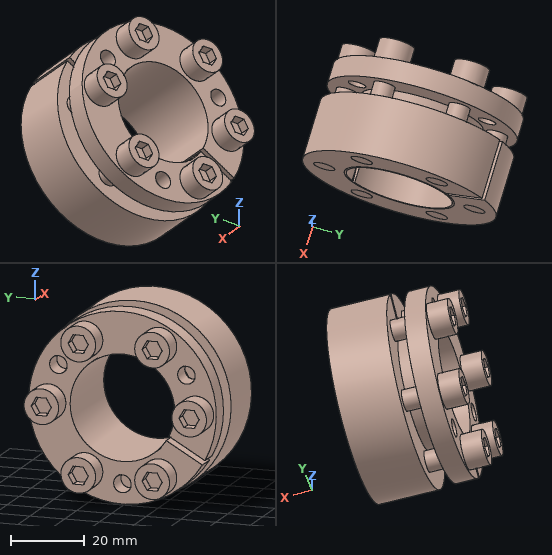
import cadquery as cq
import math


ring_diameter = 55.0
ring_length = 17.1

bore_diameter = 30.0
flange_diameter = 54.0
flange_thickness = 6.0
flange_gap = 4.9
taper_root_diameter = 34.65
taper_angle = 4.5

slit_width = 1.5
ring_slit_angle = 30.0
flange_slit_angle = ring_slit_angle + 180.0
jack_hole_diameter = 5.0
jack_hole_angles = [30.0, 150.0, 270.0]

screw_count = 6
screw_circle_diameter = 42.5
head_diameter = 10.0
head_height = 6.0
shank_diameter = 6.0
socket_flats = 5.0
socket_sides = 6
socket_depth = 3.0

flange_front = head_height
flange_back = flange_front + flange_thickness
ring_front = flange_back + flange_gap
ring_back = ring_front + ring_length

taper_length = ring_back - flange_back
taper_tip_diameter = taper_root_diameter - 2 * taper_length * math.tan(math.radians(taper_angle))
screw_circle_radius = screw_circle_diameter / 2
screw_angles = [i * 360.0 / screw_count for i in range(screw_count)]


def point_on_screw_circle(angle):
    """Y, Z position on the screw circle at an angle measured from +Y toward +Z."""
    turn = math.radians(angle)
    return (screw_circle_radius * math.cos(turn), screw_circle_radius * math.sin(turn))


def cylinder(start, end, diameter, centers=((0, 0),)):
    """Round bars along X, one on each Y, Z center."""
    plane = cq.Workplane("YZ", origin=(start, 0, 0))
    return plane.pushPoints(list(centers)).circle(diameter / 2).extrude(end - start)


def taper_cone():
    """Solid cone from the flange to the back of the ring, shared by the sleeve and the ring bore."""
    root = cq.Workplane("YZ", origin=(flange_back, 0, 0)).circle(taper_root_diameter / 2)
    return root.workplane(offset=taper_length).circle(taper_tip_diameter / 2).loft(ruled=True)


def radial_slit(angle):
    """Cutter for a slit from the axis outward, over the full length of the clamp."""
    slit = cq.Workplane("XY").box(ring_back, ring_diameter, slit_width, centered=(False, False, True))
    return slit.rotate((0, 0, 0), (1, 0, 0), angle)


def screw_holes(start, end):
    """Cutter for all the screw holes; they fit the shanks."""
    return cylinder(start, end, shank_diameter, [point_on_screw_circle(a) for a in screw_angles])


def make_outer_ring():
    ring = cylinder(ring_front, ring_back, ring_diameter)
    ring = ring.cut(taper_cone())
    ring = ring.cut(screw_holes(ring_front, ring_back))
    return ring.cut(radial_slit(ring_slit_angle))


def make_taper_sleeve():
    sleeve = cylinder(flange_front, flange_back, flange_diameter).union(taper_cone())
    sleeve = sleeve.cut(cylinder(flange_front, ring_back, bore_diameter))
    sleeve = sleeve.cut(screw_holes(flange_front, flange_back))
    jack_centers = [point_on_screw_circle(a) for a in jack_hole_angles]
    sleeve = sleeve.cut(cylinder(flange_front, flange_back, jack_hole_diameter, jack_centers))
    return sleeve.cut(radial_slit(flange_slit_angle))


def make_screw(angle):
    """Cap screw with its head on the flange and its shank ending flush with the back of the ring."""
    center = point_on_screw_circle(angle)
    head = cylinder(0, head_height, head_diameter, [center])
    shank = cylinder(head_height, ring_back, shank_diameter, [center])
    socket_corners = socket_flats / math.cos(math.pi / socket_sides)
    socket = cq.Workplane("YZ").pushPoints([center]).polygon(socket_sides, socket_corners).extrude(socket_depth)
    return head.union(shank).cut(socket)


outer_ring = make_outer_ring()
taper_sleeve = make_taper_sleeve()
screws = [make_screw(angle) for angle in screw_angles]

result = cq.Compound.makeCompound(
    [outer_ring.val(), taper_sleeve.val(), *[screw.val() for screw in screws]]
)